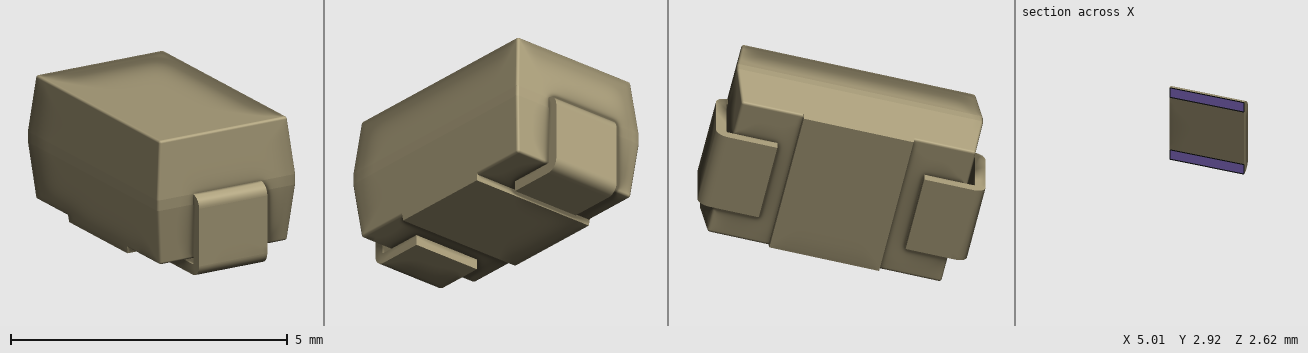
import cadquery as cq
import math

body_length = 4.57
body_width = 2.92
draft_angle = 6.0
draft_height = 1.08
edge_radius = 0.05

pad_length = 2.29
pad_bottom = 0.145

overall_length = 5.01
overall_height = 2.62
lead_width = 1.44
lead_thickness = 0.20
foot_length = 1.14

band_height = lead_thickness
band_top = overall_height - draft_height
band_bottom = band_top - band_height

lead_outer_x = overall_length / 2
wall_x = body_length / 2
foot_tip_x = lead_outer_x - foot_length
bend_radius = lead_outer_x - wall_x
inner_bend_radius = bend_radius - lead_thickness


def make_body():
    """Body block with rounded edges, standing on its drafted pad."""
    band = cq.Workplane("XY", origin=(0, 0, band_bottom)).rect(body_length, body_width).extrude(band_height)
    upper = (
        cq.Workplane("XY", origin=(0, 0, band_top))
        .rect(body_length, body_width)
        .extrude(draft_height, taper=draft_angle)
    )
    lower = (
        cq.Workplane("XY", origin=(0, 0, band_bottom))
        .rect(body_length, body_width)
        .extrude(-draft_height, taper=draft_angle)
    )
    block = band.union(upper).union(lower)

    corner_edges = block.edges("not(#Z)")
    rim_edges = block.faces("<Z or >Z").edges()
    block = block.newObject(corner_edges.vals() + rim_edges.vals()).fillet(edge_radius)

    pad = (
        cq.Workplane("XY", origin=(0, 0, band_bottom))
        .rect(pad_length, body_width)
        .extrude(pad_bottom - band_bottom, taper=draft_angle)
    )
    return block.union(pad, clean=False)


def bend_point(radius, center_z, angle):
    """Point at the given angle (degrees) on a bend centred level with the end wall."""
    turn = math.radians(angle)
    return wall_x + radius * math.cos(turn), center_z + radius * math.sin(turn)


def make_lead():
    """Lead on the +X end, as a C-shaped strip profile extruded across its width."""
    upper_center_z = band_top - bend_radius
    lower_center_z = bend_radius
    inner_x = lead_outer_x - lead_thickness
    return (
        cq.Workplane("XZ")
        .moveTo(wall_x, band_top)
        .threePointArc(bend_point(bend_radius, upper_center_z, 45), (lead_outer_x, upper_center_z))
        .lineTo(lead_outer_x, lower_center_z)
        .threePointArc(bend_point(bend_radius, lower_center_z, -45), (wall_x, 0))
        .lineTo(foot_tip_x, 0)
        .lineTo(foot_tip_x, lead_thickness)
        .lineTo(wall_x, lead_thickness)
        .threePointArc(bend_point(inner_bend_radius, lower_center_z, -45), (inner_x, lower_center_z))
        .lineTo(inner_x, upper_center_z)
        .threePointArc(bend_point(inner_bend_radius, upper_center_z, 45), (wall_x, band_bottom))
        .close()
        .extrude(lead_width / 2, both=True)
    )


body = make_body()
leads = [make_lead().rotate((0, 0, 0), (0, 0, 1), angle) for angle in (0, 180)]

result = cq.Compound.makeCompound([body.val(), *[lead.val() for lead in leads]])